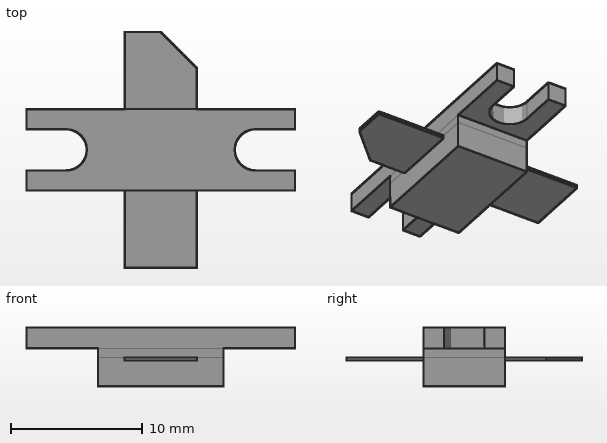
import cadquery as cq

flange_length = 20.5
flange_width = 6.23
flange_thickness = 1.6

slot_width = 3.12
slot_depth = 4.6

body_length = 9.6
spacer_height = 0.7
lid_height = 2.21

lead_width = 5.5
lead_span = 18.0
lead_thickness = 0.25
lead_corner_cut = lead_width / 2

lid_top = lid_height
spacer_top = lid_top + spacer_height


def block(length, width, height, bottom):
    """Box centred on the Z axis, standing on the given level."""
    return (
        cq.Workplane("XY")
        .workplane(offset=bottom)
        .rect(length, width)
        .extrude(height)
    )


def slot_cutter(side):
    """Round-ended slot opening through one end (side is -1 or +1)."""
    radius = slot_width / 2
    end_x = side * flange_length / 2
    arc_start_x = side * (flange_length / 2 - slot_depth + radius)
    arc_tip_x = side * (flange_length / 2 - slot_depth)
    return (
        cq.Workplane("XY")
        .workplane(offset=spacer_top)
        .moveTo(end_x, radius)
        .lineTo(arc_start_x, radius)
        .threePointArc((arc_tip_x, 0), (arc_start_x, -radius))
        .lineTo(end_x, -radius)
        .close()
        .extrude(flange_thickness)
    )


def make_flange():
    flange = block(flange_length, flange_width, flange_thickness, spacer_top)
    for side in (-1, 1):
        flange = flange.cut(slot_cutter(side))
    return flange


def make_leads():
    """Both leads as one strip through the body, with the +X +Y corner cut off."""
    half_width = lead_width / 2
    half_span = lead_span / 2
    return (
        cq.Workplane("XY")
        .workplane(offset=lid_top - lead_thickness)
        .moveTo(-half_width, -half_span)
        .lineTo(half_width, -half_span)
        .lineTo(half_width, half_span - lead_corner_cut)
        .lineTo(half_width - lead_corner_cut, half_span)
        .lineTo(-half_width, half_span)
        .close()
        .extrude(lead_thickness)
    )


lid = block(body_length, flange_width, lid_height, 0)
spacer = block(body_length, flange_width, spacer_height, lid_top)

result = (
    make_flange()
    .union(spacer, clean=False)
    .union(lid, clean=False)
    .union(make_leads(), clean=False)
)